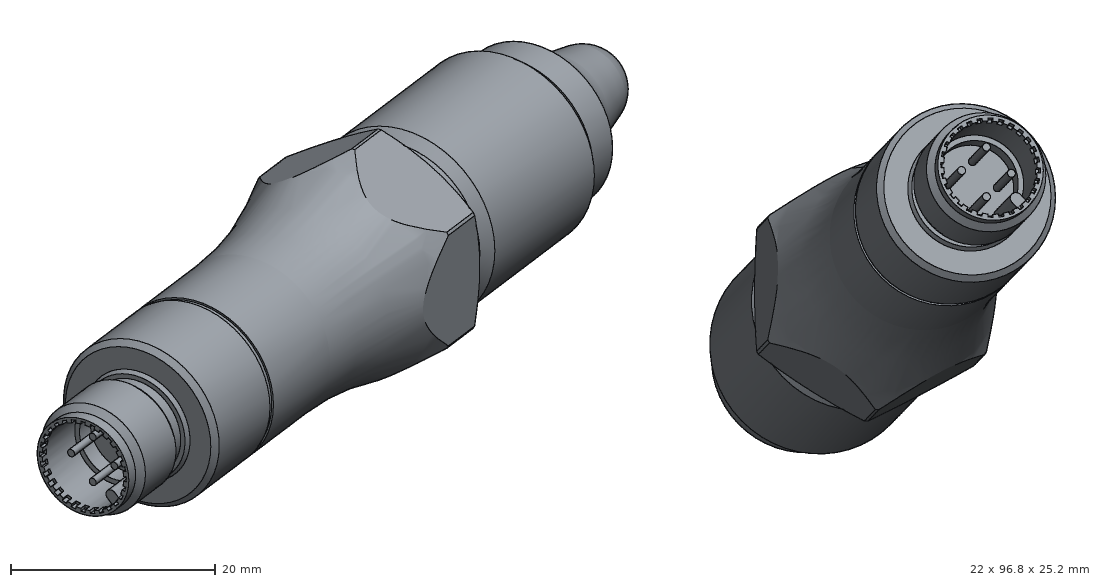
import cadquery as cq
import math

total_length = 96.84

dome_radius = 4.5
tip_half_angle = math.radians(12)
tip_cone_end = 88.62
shoulder_y = 83.55
flare_angle = math.radians(45)
shoulder_radius = 18 / 2

sleeve_front = 79.15
sleeve_rear = 59.4
sleeve_radius = 20.95 / 2
sleeve_front_chamfer = 1.0
sleeve_front_chamfer_length = 1.35
neck_radius = 19 / 2
neck_front = 58.2
neck_rear = 56.7

hex_across_flats = 22.0
hex_corner_radius = 25.2 / 2
hex_front = 56.4
hex_chamfer_start_radius = 9.9
hex_chamfer_angle = math.radians(30)
sweep_radius = 50.0
sweep_end = 31.34

barrel_radius = 18 / 2
barrel_end = 10.2
barrel_chamfer = 0.6
groove_y = 20.5
groove_width = 0.65
groove_depth = 0.2

collar_radius = 12 / 2
collar_end = 9.75
collar_taper = 0.3
stem_radius = 10.4 / 2
thread_radius = 12 / 2
thread_front = 8.0
thread_front_chamfer = 0.4
thread_rear = 1.95
spigot_radius = 10.6 / 2
spigot_length = 1.25

mouth_radius = 9.4 / 2
mouth_depth = 6.0
bore_radius = 4.15
bore_depth = 8.0
slot_count = 28
slot_width = 0.5
slot_outer_radius = 5.0
slot_depth = 0.8
pin_count = 4
pin_radius = 0.4
pin_circle_radius = 2.5
pin_recess = 1.8
key_nose_distance = 3.3
key_nose_radius = 0.6
key_direction = 45
key_recess = 0.8


def turned_body():
    """Revolve the outer profile about the Y axis."""
    dome_center = total_length - dome_radius
    dome_mid_angle = (math.pi / 2 + tip_half_angle) / 2
    dome_mid = (
        dome_radius * math.cos(dome_mid_angle),
        dome_center + dome_radius * math.sin(dome_mid_angle),
    )
    dome_end = (
        dome_radius * math.cos(tip_half_angle),
        dome_center + dome_radius * math.sin(tip_half_angle),
    )
    cone_end_radius = dome_end[0] + (dome_end[1] - tip_cone_end) * math.tan(tip_half_angle)

    arc_drop = math.sin(flare_angle) - math.sin(tip_half_angle)
    arc_rise = math.cos(tip_half_angle) - math.cos(flare_angle)
    flare_slope = math.tan(flare_angle)
    straight_rise = (tip_cone_end - shoulder_y) * flare_slope
    excess = straight_rise - (shoulder_radius - cone_end_radius)
    flare_radius = excess / (arc_drop * flare_slope - arc_rise)
    arc_mid_angle = (tip_half_angle + flare_angle) / 2

    def flare_point(angle):
        return (
            cone_end_radius + flare_radius * (math.cos(tip_half_angle) - math.cos(angle)),
            tip_cone_end - flare_radius * (math.sin(angle) - math.sin(tip_half_angle)),
        )

    hex_chamfer_end = hex_front - (hex_corner_radius - hex_chamfer_start_radius) * math.tan(
        hex_chamfer_angle
    )
    sweep_angle = math.acos(1 - (hex_corner_radius - barrel_radius) / sweep_radius)

    def sweep_point(angle):
        return (
            barrel_radius + sweep_radius * (1 - math.cos(angle)),
            sweep_end + sweep_radius * math.sin(angle),
        )

    groove_front = groove_y + groove_width / 2
    groove_rear = groove_y - groove_width / 2
    groove_radius = barrel_radius - groove_depth

    profile = (
        cq.Workplane("XY")
        .moveTo(0, total_length)
        .threePointArc(dome_mid, dome_end)
        .lineTo(cone_end_radius, tip_cone_end)
        .threePointArc(flare_point(arc_mid_angle), flare_point(flare_angle))
        .lineTo(shoulder_radius, shoulder_y)
        .lineTo(shoulder_radius, sleeve_front)
        .lineTo(sleeve_radius - sleeve_front_chamfer, sleeve_front)
        .lineTo(sleeve_radius, sleeve_front - sleeve_front_chamfer_length)
        .lineTo(sleeve_radius, sleeve_rear)
        .lineTo(neck_radius, neck_front)
        .lineTo(neck_radius, neck_rear)
        .lineTo(hex_chamfer_start_radius, hex_front)
        .lineTo(hex_corner_radius, hex_chamfer_end)
        .lineTo(*sweep_point(sweep_angle))
        .threePointArc(sweep_point(sweep_angle / 2), sweep_point(0))
        .lineTo(barrel_radius, groove_front)
        .lineTo(groove_radius, groove_front)
        .lineTo(groove_radius, groove_rear)
        .lineTo(barrel_radius, groove_rear)
        .lineTo(barrel_radius, barrel_end + barrel_chamfer)
        .lineTo(barrel_radius - barrel_chamfer, barrel_end)
        .lineTo(collar_radius, barrel_end)
        .lineTo(collar_radius - collar_taper, collar_end)
        .lineTo(stem_radius, collar_end)
        .lineTo(stem_radius, thread_front)
        .lineTo(thread_radius - thread_front_chamfer, thread_front)
        .lineTo(thread_radius, thread_front - thread_front_chamfer)
        .lineTo(thread_radius, thread_rear)
        .lineTo(spigot_radius, spigot_length)
        .lineTo(spigot_radius, 0)
        .lineTo(0, 0)
        .close()
    )
    return profile.revolve(360, (0, 0, 0), (0, 1, 0))


def cylinder_along_y(radius, start, end, x=0, z=0):
    """Cylinder whose axis is parallel to Y, from start to end."""
    circle = cq.Workplane("XZ", origin=(x, start, z)).circle(radius)
    return circle.extrude(start - end)


def wrench_prism():
    """Hexagonal prism with flats facing +X and -X and corners on the Z axis."""
    across_corners = hex_across_flats / math.cos(math.pi / 6)
    hexagon = cq.Workplane("XZ").polygon(6, across_corners)
    return hexagon.extrude(-total_length).rotate((0, 0, 0), (0, 1, 0), 90)


def rim_slots():
    """Radial slots cut into the inner edge of the connector rim."""
    slot = cq.Workplane("XY").box(
        slot_outer_radius, slot_depth, slot_width, centered=(False, False, True)
    )
    slots = cq.Workplane("XY")
    for index in range(slot_count):
        slots.add(slot.rotate((0, 0, 0), (0, 1, 0), index * 360 / slot_count))
    return slots.combine()


def contact_pins():
    """Contact pins standing on the socket floor."""
    pins = cq.Workplane("XY")
    for index in range(pin_count):
        angle = 2 * math.pi * index / pin_count
        x = pin_circle_radius * math.cos(angle)
        z = pin_circle_radius * math.sin(angle)
        pins.add(cylinder_along_y(pin_radius, pin_recess, bore_depth, x, z))
    return pins.combine()


def coding_key():
    """Round-nosed radial rib on the +X, -Z side of the socket wall."""
    key_length = bore_depth - key_recess
    nose_center = key_nose_distance + key_nose_radius
    nose = cylinder_along_y(key_nose_radius, key_recess, bore_depth, nose_center)
    web = cq.Workplane("XY", origin=(nose_center, key_recess, 0)).box(
        mouth_radius - nose_center, key_length, 2 * key_nose_radius, centered=(False, False, True)
    )
    return nose.union(web).rotate((0, 0, 0), (0, 1, 0), key_direction)


result = (
    turned_body()
    .intersect(wrench_prism())
    .cut(cylinder_along_y(mouth_radius, 0, mouth_depth))
    .cut(cylinder_along_y(bore_radius, 0, bore_depth))
    .cut(rim_slots())
    .union(contact_pins())
    .union(coding_key())
)